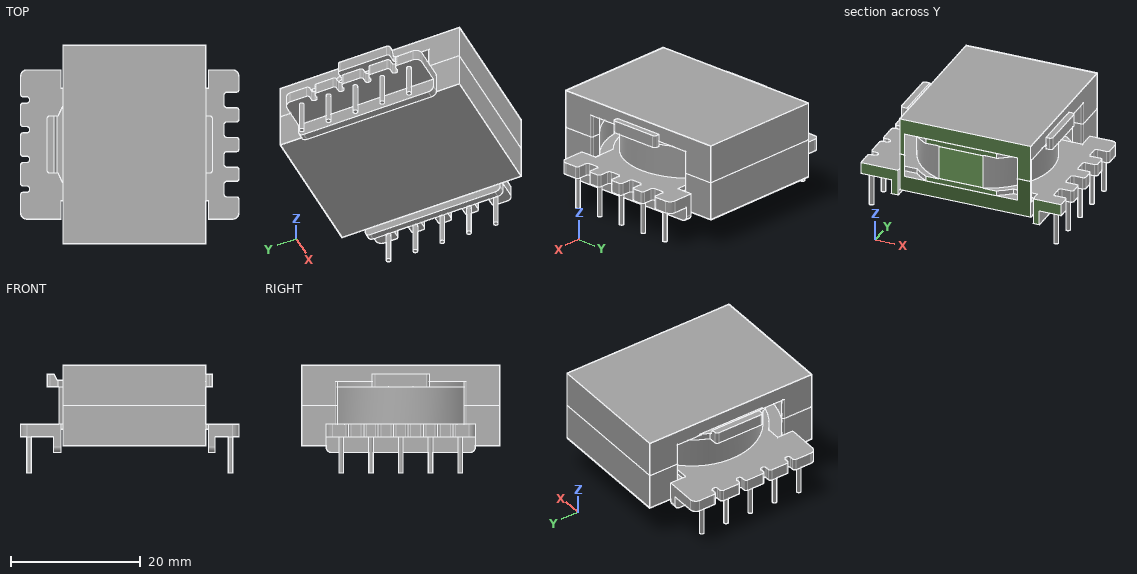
import cadquery as cq

LOOP_LENGTH_Y = 30.68
LOOP_HALF_HEIGHT = 6.27
TAPE_THICKNESS = 0.07

CORE_LENGTH_X = 22.08
CORE_HALF_WIDTH = LOOP_LENGTH_Y / 2 - TAPE_THICKNESS
CORE_HALF_HEIGHT = LOOP_HALF_HEIGHT - TAPE_THICKNESS
CORE_OFFSET_X = 0.7
CAVITY_RADIUS = 14.0
CAVITY_HALF_HEIGHT = 3.67
RIGHT_MOUTH_HALF_WIDTH = 9.78
MOUTH_FILLET = 0.3
LEG_RADIUS = 6.07
CORE_LEFT_X = CORE_OFFSET_X - CORE_LENGTH_X / 2
CORE_RIGHT_X = CORE_OFFSET_X + CORE_LENGTH_X / 2

WINDING_RADIUS = 10.95
WINDING_HALF_HEIGHT = 2.85
HUB_RADIUS = 7.08

FLANGE_RADIUS = 11.9
LIP_TOP = 3.9
NECK_HALF_WIDTH = 8.7

TAB_REACH = 12.75
TAB_HALF_WIDTH = 4.4
TAB_TOP = 4.85
TAB_BACK_X = 11.65
TAB_SLOPE_RUN = 0.47
TAB_CORNER = 0.45

RAIL_OUTER_X = 16.85
RAIL_HALF_LENGTH = 11.53
RAIL_THICKNESS = 2.0
RAIL_CORNER = 1.0
RAIL_TOP = -WINDING_HALF_HEIGHT
RAIL_BOTTOM = RAIL_TOP - RAIL_THICKNESS
LEFT_RAIL_INNER_X = 10.6
RIGHT_RAIL_INNER_X = 12.15
LEFT_FOOT_WIDTH = 1.18
RIGHT_FOOT_WIDTH = 1.05
FOOT_BOTTOM = -7.28
FOOT_CORNER = 0.88

LEFT_SLOT_WIDTH = 0.95
LEFT_SLOT_DEPTH = 1.38
RIGHT_SLOT_WIDTH = 2.35
RIGHT_SLOT_DEPTH = 2.3
SLOT_MOUTH_RADIUS = 0.4
SLOT_END_RADIUS = 0.4

PINS_PER_RAIL = 5
PIN_PITCH = 4.6
PIN_X = 15.55
PIN_DIAMETER = 0.75
PIN_BOTTOM = -10.45


def block(x_min, x_max, half_width, z_min, z_max):
    """Box centred on y = 0."""
    return cq.Workplane("XY").box(
        x_max - x_min, 2 * half_width, z_max - z_min, centered=(False, True, False)
    ).translate((x_min, 0, z_min))


def disc(radius, z_min, z_max):
    """Cylinder on the winding axis."""
    return cq.Workplane("XY").workplane(offset=z_min).circle(radius).extrude(z_max - z_min)


def make_tape():
    outside = block(
        CORE_LEFT_X, CORE_RIGHT_X, LOOP_LENGTH_Y / 2, -LOOP_HALF_HEIGHT, LOOP_HALF_HEIGHT
    )
    inside = block(CORE_LEFT_X, CORE_RIGHT_X, CORE_HALF_WIDTH, -CORE_HALF_HEIGHT, CORE_HALF_HEIGHT)
    return outside.cut(inside)


def make_upper_core():
    body = block(CORE_LEFT_X, CORE_RIGHT_X, CORE_HALF_WIDTH, 0, CORE_HALF_HEIGHT)
    body = body.cut(disc(CAVITY_RADIUS, 0, CAVITY_HALF_HEIGHT))
    body = body.cut(block(0, CORE_RIGHT_X, RIGHT_MOUTH_HALF_WIDTH, 0, CAVITY_HALF_HEIGHT))
    for face_x in (CORE_LEFT_X, CORE_RIGHT_X):
        mouth_edges = cq.selectors.BoxSelector(
            (face_x - 0.05, -CAVITY_RADIUS, 0), (face_x + 0.05, CAVITY_RADIUS, CAVITY_HALF_HEIGHT)
        )
        body = body.edges("|Z").edges(mouth_edges).fillet(MOUTH_FILLET)
    return body.union(disc(LEG_RADIUS, 0, CAVITY_HALF_HEIGHT))


def make_winding():
    return disc(WINDING_RADIUS, -WINDING_HALF_HEIGHT, WINDING_HALF_HEIGHT).cut(
        disc(HUB_RADIUS, -WINDING_HALF_HEIGHT, WINDING_HALF_HEIGHT)
    )


def make_spool():
    spool = disc(HUB_RADIUS, -CAVITY_HALF_HEIGHT, CAVITY_HALF_HEIGHT)
    spool = spool.union(disc(FLANGE_RADIUS, WINDING_HALF_HEIGHT, CAVITY_HALF_HEIGHT))
    spool = spool.union(disc(FLANGE_RADIUS, -CAVITY_HALF_HEIGHT, -WINDING_HALF_HEIGHT))
    spool = spool.union(
        block(-LEFT_RAIL_INNER_X, RIGHT_RAIL_INNER_X, NECK_HALF_WIDTH, -CAVITY_HALF_HEIGHT, RAIL_TOP)
    )
    return spool.cut(disc(LEG_RADIUS, -CAVITY_HALF_HEIGHT, CAVITY_HALF_HEIGHT))


def make_tabs():
    """Raised flange rim and the two tabs, kept clear of the core block."""
    profile = [
        (-TAB_REACH, WINDING_HALF_HEIGHT),
        (-TAB_REACH, TAB_TOP),
        (-TAB_BACK_X, TAB_TOP),
        (-TAB_BACK_X + TAB_SLOPE_RUN, LIP_TOP),
        (TAB_BACK_X - TAB_SLOPE_RUN, LIP_TOP),
        (TAB_BACK_X, TAB_TOP),
        (TAB_REACH, TAB_TOP),
        (TAB_REACH, WINDING_HALF_HEIGHT),
    ]
    tabs = cq.Workplane("XZ").polyline(profile).close().extrude(TAB_HALF_WIDTH, both=True)
    tabs = tabs.edges("|Z").fillet(TAB_CORNER)
    tabs = tabs.union(disc(FLANGE_RADIUS, WINDING_HALF_HEIGHT, LIP_TOP))
    return tabs.cut(block(CORE_LEFT_X, CORE_RIGHT_X, CORE_HALF_WIDTH, 0, CORE_HALF_HEIGHT))


def make_rail(side, inner_x, foot_width, slot_width, slot_depth):
    """Rail with pins on the side given by the sign of x."""
    rail = block(inner_x, RAIL_OUTER_X, RAIL_HALF_LENGTH, RAIL_BOTTOM, RAIL_TOP)
    rail = rail.edges("|Z and >X").fillet(RAIL_CORNER)
    slot_bottom_x = RAIL_OUTER_X - slot_depth
    slots = (
        cq.Workplane("XY")
        .workplane(offset=RAIL_BOTTOM)
        .rarray(0.35, PIN_PITCH, 1, PINS_PER_RAIL - 1)
        .rect(2 * slot_depth, slot_width)
        .extrude(RAIL_THICKNESS)
        .edges("|Z and <X")
        .fillet(SLOT_END_RADIUS)
        .translate((RAIL_OUTER_X, 0, 0))
    )
    rail = rail.cut(slots)
    slot_span = (PINS_PER_RAIL - 1) * PIN_PITCH / 2
    mouth_edges = cq.selectors.BoxSelector(
        (RAIL_OUTER_X - 0.05, -slot_span, RAIL_BOTTOM), (RAIL_OUTER_X + 0.05, slot_span, RAIL_TOP)
    )
    rail = rail.edges("|Z").edges(mouth_edges).fillet(SLOT_MOUTH_RADIUS)

    foot = block(inner_x, inner_x + foot_width, RAIL_HALF_LENGTH, FOOT_BOTTOM, RAIL_BOTTOM)
    rail = rail.union(foot.edges("|X and <Z").fillet(FOOT_CORNER))

    pins = (
        cq.Workplane("XY")
        .workplane(offset=PIN_BOTTOM)
        .center(PIN_X, 0)
        .rarray(0.35, PIN_PITCH, 1, PINS_PER_RAIL)
        .circle(PIN_DIAMETER / 2)
        .extrude(RAIL_BOTTOM - PIN_BOTTOM)
    )
    rail = rail.union(pins)
    return rail if side > 0 else rail.mirror("YZ")


tape = make_tape()
upper_core = make_upper_core()
lower_core = upper_core.mirror("XY")
winding = make_winding()
bobbin = (
    make_spool()
    .union(make_tabs())
    .union(make_rail(-1, LEFT_RAIL_INNER_X, LEFT_FOOT_WIDTH, LEFT_SLOT_WIDTH, LEFT_SLOT_DEPTH))
    .union(make_rail(1, RIGHT_RAIL_INNER_X, RIGHT_FOOT_WIDTH, RIGHT_SLOT_WIDTH, RIGHT_SLOT_DEPTH))
)
result = cq.Compound.makeCompound(
    [tape.val(), upper_core.val(), lower_core.val(), winding.val(), bobbin.val()]
)